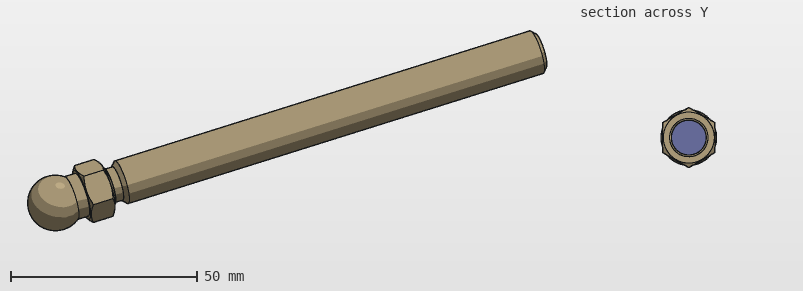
import cadquery as cq
import math

LENGTH = 147.0

BALL_DIAMETER = 15.0
COLLAR_DIAMETER = 12.0

HEX_START = 15.0
HEX_WIDTH = 7.0
HEX_ACROSS_CORNERS = 16.2
HEX_CHAMFER_DIAMETER = 13.7
HEX_CHAMFER_ANGLE = 30.0

SHOULDER_DIAMETER = 10.3
SHOULDER_WIDTH = 0.9
NECK_DIAMETER = 9.4

ROD_START = 25.3
ROD_DIAMETER = 12.0
ROD_CHAMFER = 1.2

hex_end = HEX_START + HEX_WIDTH


def cylinder(diameter, start, end):
    """Cylinder about the Y axis between two Y positions."""
    return cq.Workplane("XZ", origin=(0, start, 0)).circle(diameter / 2).extrude(start - end)


def make_ball():
    center = BALL_DIAMETER / 2
    ball = cq.Workplane("XY").sphere(center).translate((0, center, 0))
    return ball.union(cylinder(COLLAR_DIAMETER, center, HEX_START))


def make_hexagon():
    """Hexagonal nut section with conically chamfered corners at both ends."""
    prism = (
        cq.Workplane("XZ", origin=(0, HEX_START, 0))
        .transformed(rotate=(0, 0, 90))
        .polygon(6, HEX_ACROSS_CORNERS)
        .extrude(-HEX_WIDTH)
    )
    face_radius = HEX_CHAMFER_DIAMETER / 2
    corner_radius = HEX_ACROSS_CORNERS / 2
    chamfer_depth = (corner_radius - face_radius) * math.tan(math.radians(HEX_CHAMFER_ANGLE))
    envelope = (
        cq.Workplane("XY")
        .moveTo(0, HEX_START)
        .lineTo(face_radius, HEX_START)
        .lineTo(corner_radius, HEX_START + chamfer_depth)
        .lineTo(corner_radius, hex_end - chamfer_depth)
        .lineTo(face_radius, hex_end)
        .lineTo(0, hex_end)
        .close()
        .revolve(360, (0, 0, 0), (0, 1, 0))
    )
    return prism.intersect(envelope)


def make_neck():
    shoulder = cylinder(SHOULDER_DIAMETER, hex_end, hex_end + SHOULDER_WIDTH)
    return shoulder.union(cylinder(NECK_DIAMETER, hex_end, ROD_START))


def make_rod():
    """Rod chamfered at both ends."""
    return cylinder(ROD_DIAMETER, ROD_START, LENGTH).faces("<Y or >Y").chamfer(ROD_CHAMFER)


result = make_ball().union(make_hexagon()).union(make_neck()).union(make_rod())